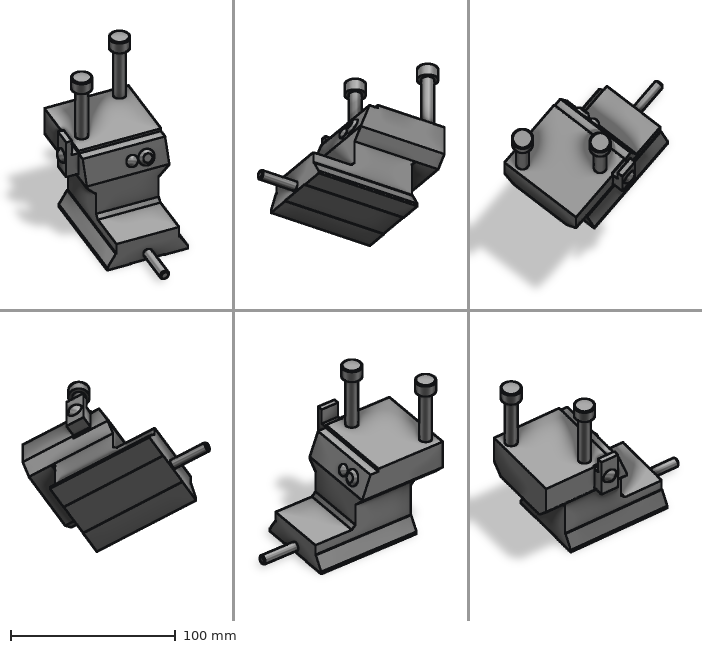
import cadquery as cq
import math

block_length = 60.1
block_width = 56.1
block_bottom = 35.9
block_top = 62.2
step_start = 48.0
step_top = 60.1
slope_start = 53.9
slope_bottom = 43.5

neck_start = 18.9
neck_width = 41.9
neck_relief = 2.6
foot_end = 89.9
foot_width = 54.0
foot_top = 18.2
dovetail_top = 10.9
dovetail_top_width = 42.8
lip_height = 1.8
groove_width = 22.3
groove_depth = 0.3

bracket_start = 35.8
bracket_bottom = 44.8
bracket_top = 71.2
bracket_shelf = 60.5
notch_y = -foot_width / 2
bracket_inner_y = -31.5
bracket_outer_y = -35.3

screw_centers = [(6.5, 19.2), (34.5, -18.9)]
shank_diameter = 8.0
screw_head_diameter = 13.0
screw_head_bottom = 98.4
screw_top = 106.6
screw_head_chamfer = 0.7

pin_diameter = 6.0
pin_z = 5.0
pin_end = 115.0
pin_chamfer = 0.7

button_embed = 1.2
bracket_button_z = 57.2
bracket_button_diameter = 9.4
bracket_button_height = 2.9
slope_button_z = 51.1
flat_button_y = 14.0
flat_button_diameter = 10.6
flat_button_face = 6.0
flat_button_height = 2.3
dome_button_y = 4.5
dome_button_diameter = 7.7
dome_button_height = 2.4


def side_profile(points, start_x, end_x):
    """Extrude a symmetric section, given as (half width, z), along X."""
    mirrored = [(-half_width, z) for half_width, z in reversed(points)]
    section = cq.Workplane("YZ", origin=(start_x, 0, 0)).polyline(points + mirrored).close()
    return section.extrude(end_x - start_x)


def make_block():
    half_block = block_width / 2
    half_neck = neck_width / 2
    bevel = half_block - half_neck
    section = [
        (half_neck, block_bottom),
        (half_block, block_bottom + bevel),
        (half_block, block_top),
    ]
    block = side_profile(section, 0, block_length)
    outline = (
        cq.Workplane("XZ")
        .polyline([
            (0, block_bottom),
            (block_length, block_bottom),
            (block_length, slope_bottom),
            (slope_start, step_top),
            (step_start, step_top),
            (step_start, block_top),
            (0, block_top),
        ])
        .close()
        .extrude(half_block, both=True)
    )
    notch = cq.Workplane("XY").box(
        block_length - bracket_start, block_width, block_top, centered=False
    ).translate((bracket_start, notch_y - block_width, 0))
    return block.intersect(outline).cut(notch)


def make_neck():
    return (
        cq.Workplane("XZ")
        .polyline([
            (neck_start, 0),
            (foot_end, 0),
            (foot_end, foot_top),
            (block_length + neck_relief, foot_top),
            (block_length, foot_top + neck_relief),
            (block_length, block_bottom),
            (neck_start - neck_relief, block_bottom),
            (neck_start, block_bottom - neck_relief),
        ])
        .close()
        .extrude(neck_width / 2, both=True)
    )


def make_dovetail():
    section = [
        (foot_width / 2, 0),
        (foot_width / 2, lip_height),
        (dovetail_top_width / 2, dovetail_top),
    ]
    return side_profile(section, neck_start, foot_end)


def make_groove():
    return cq.Workplane("XY").box(
        foot_end - neck_start, groove_width, groove_depth, centered=(False, True, False)
    ).translate((neck_start, 0, 0))


def make_bracket():
    return (
        cq.Workplane("YZ", origin=(bracket_start, 0, 0))
        .polyline([
            (notch_y, bracket_bottom),
            (bracket_outer_y, bracket_bottom),
            (bracket_outer_y, bracket_top),
            (bracket_inner_y, bracket_top),
            (bracket_inner_y, bracket_shelf),
            (notch_y, bracket_shelf),
        ])
        .close()
        .extrude(step_start - bracket_start)
    )


def make_screw(center):
    shank = cq.Workplane("XY", origin=(*center, block_bottom + neck_relief))
    shank = shank.circle(shank_diameter / 2).extrude(screw_head_bottom - block_bottom - neck_relief)
    head = (
        cq.Workplane("XY", origin=(*center, screw_head_bottom))
        .circle(screw_head_diameter / 2)
        .extrude(screw_top - screw_head_bottom)
        .faces(">Z")
        .chamfer(screw_head_chamfer)
    )
    return shank.union(head)


def make_pin():
    return (
        cq.Workplane("YZ", origin=(foot_end - pin_diameter, 0, 0))
        .center(0, pin_z)
        .circle(pin_diameter / 2)
        .extrude(pin_end - foot_end + pin_diameter)
        .faces(">X")
        .chamfer(pin_chamfer)
    )


def make_button(plane, diameter, height, face_diameter=0):
    """Round head on a plane, bounded by a sphere and an optional flat face."""
    radius = diameter / 2
    face_radius = face_diameter / 2
    center_height = (height**2 + face_radius**2 - radius**2) / (2 * height)
    sphere_radius = math.hypot(radius, center_height)
    middle_height = height / 2
    middle_radius = math.sqrt(sphere_radius**2 - (middle_height - center_height) ** 2)
    profile = cq.Workplane(plane).transformed(rotate=(90, 0, 0))
    profile = profile.moveTo(0, -button_embed).lineTo(radius, -button_embed).lineTo(radius, 0)
    profile = profile.threePointArc((middle_radius, middle_height), (face_radius, height))
    if face_radius > 0:
        profile = profile.lineTo(0, height)
    return profile.close().revolve(360, (0, 0), (0, 1))


def slope_plane(y):
    """Plane on the sloped end face, with its normal pointing outward."""
    run = block_length - slope_start
    drop = step_top - slope_bottom
    x = slope_start + run * (step_top - slope_button_z) / drop
    return cq.Plane(origin=(x, y, slope_button_z), xDir=(0, 1, 0), normal=(drop, 0, run))


bracket_button_plane = cq.Plane(
    origin=((bracket_start + step_start) / 2, bracket_outer_y, bracket_button_z),
    xDir=(1, 0, 0),
    normal=(0, -1, 0),
)

result = make_block().union(make_neck()).union(make_dovetail()).cut(make_groove())
result = result.union(make_bracket()).union(make_pin())
for screw_center in screw_centers:
    result = result.union(make_screw(screw_center))
result = result.union(make_button(bracket_button_plane, bracket_button_diameter, bracket_button_height))
result = result.union(
    make_button(slope_plane(flat_button_y), flat_button_diameter, flat_button_height, flat_button_face)
)
result = result.union(make_button(slope_plane(dome_button_y), dome_button_diameter, dome_button_height))